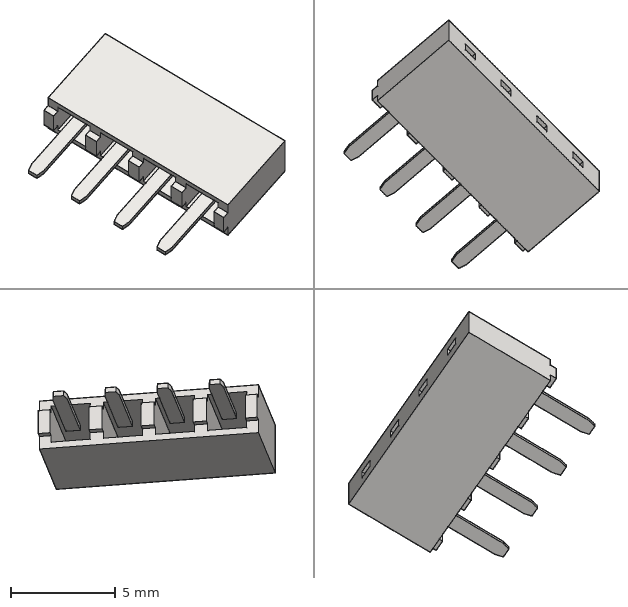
import cadquery as cq

PIN_COUNT = 4
PITCH = 2.54
HOUSING_LENGTH = 10.66
HOUSING_HEIGHT = 2.54
HOUSING_DEPTH = 4.65
RIB_PROJECTION = 0.34
RIB_HEIGHT = 1.22
POCKET_SIDE = 1.9
CONTACT_HOLE_SIDE = 0.7
PIN_LENGTH = 4.0
PIN_THICKNESS = 0.26
PIN_TIP_WIDTH = 0.5
PIN_TAPER_LENGTH = 0.4
TOTAL_DEPTH = 8.0

PIN_WIDTH = CONTACT_HOLE_SIDE
FRONT_Y = -HOUSING_DEPTH
RIB_FRONT_Y = FRONT_Y - RIB_PROJECTION
PIN_TIP_Y = -TOTAL_DEPTH
PIN_BACK_Y = PIN_TIP_Y + PIN_LENGTH
END_WALL = (HOUSING_LENGTH - (PIN_COUNT - 1) * PITCH - POCKET_SIDE) / 2
BACK_WALL = END_WALL
PIN_CENTRES = [(i - (PIN_COUNT - 1) / 2) * PITCH for i in range(PIN_COUNT)]


def block(x_size, z_size, y_back, y_front, x_centre=0):
    """Box centred on Z = 0 that runs along -Y from y_back to y_front."""
    length = y_back - y_front
    return cq.Workplane("XY").box(x_size, length, z_size).translate((x_centre, y_back - length / 2, 0))


def make_housing():
    """Block with a raised front band that the pockets split into standoff ribs."""
    body = block(HOUSING_LENGTH, HOUSING_HEIGHT, 0, FRONT_Y)
    rib_band = block(HOUSING_LENGTH, RIB_HEIGHT, 0, RIB_FRONT_Y)
    housing = body.union(rib_band)
    for x in PIN_CENTRES:
        pocket = block(POCKET_SIDE, POCKET_SIDE, -BACK_WALL, RIB_FRONT_Y, x)
        contact_hole = block(CONTACT_HOLE_SIDE, CONTACT_HOLE_SIDE, 0, -BACK_WALL, x)
        housing = housing.cut(pocket).cut(contact_hole)
    return housing


def make_pin(x_centre):
    """Flat pin that starts inside its pocket and is tapered in width at its tip."""
    taper_start_y = PIN_TIP_Y + PIN_TAPER_LENGTH
    outline = [
        (-PIN_WIDTH / 2, PIN_BACK_Y),
        (-PIN_WIDTH / 2, taper_start_y),
        (-PIN_TIP_WIDTH / 2, PIN_TIP_Y),
        (PIN_TIP_WIDTH / 2, PIN_TIP_Y),
        (PIN_WIDTH / 2, taper_start_y),
        (PIN_WIDTH / 2, PIN_BACK_Y),
    ]
    pin = cq.Workplane("XY").polyline(outline).close().extrude(PIN_THICKNESS / 2, both=True)
    return pin.translate((x_centre, 0, 0))


housing = make_housing()
pins = [make_pin(x) for x in PIN_CENTRES]

result = cq.Compound.makeCompound([housing.val(), *[pin.val() for pin in pins]])